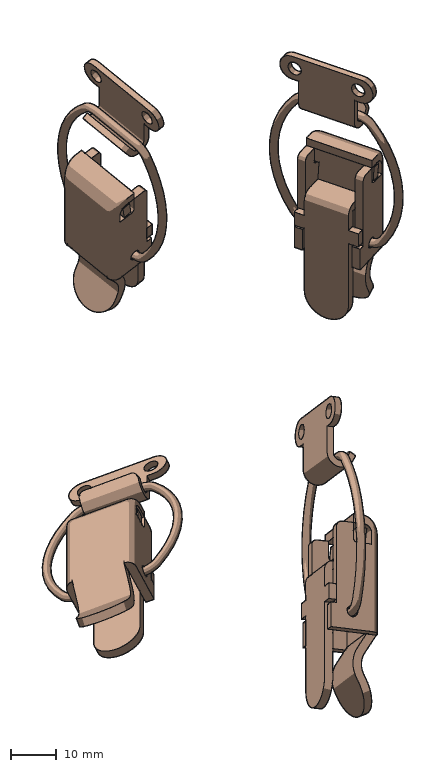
import cadquery as cq
import math


strike_sheet = 1.5
strike_top = 69.7
ear_width = 23.5
ear_height = 6.3
screw_hole_diameter = 3.3
screw_hole_offset = 8.0
neck_width = 14.1
hook_outer_radius = 3.2
hook_inner_radius = hook_outer_radius - strike_sheet
hook_centre_z = 57.6
hook_lip_angle = 30.0
hook_lip_length = 2.2
hook_lip_corner = 1.45

wire_radius = 1.0
bail_width = 33.45
bail_pivot_depth = 5.5
bail_pivot_z = 21.1
bail_top_depth = 3.15
bail_top_z = 57.0
bail_corner_radius = 4.2
bail_side_radius = 27.6
bail_side_height = 17.0

lever_sheet = 2.0
lever_width = 16.6
lever_front_depth = 12.05
lever_top = 43.55
lever_bottom = 16.95
lever_side_radius = 2.1
lever_bend_radius = 4.0
bend_end_radius = 0.05
wall_rear_depth = 1.75
heel_rear_depth = 0.4
heel_top = 22.65
wall_corner_radius = 1.25
pivot_hole_radius = 1.25
notch_rear_depth = 5.7
notch_floor = 37.1
notch_corner_radius = 0.9

fold_z = 17.6
fold_angle = 32.0
fold_length = 4.75
dip_radius = 5.0
flick_angle = 27.2

base_sheet = 1.95
base_width = 11.15
base_bottom = 0.85
shelf_top = 33.1
base_bend_radius = 2.1
lug_width = 16.2
lug_bottom = 23.4
lug_top = 27.05
prong_sheet = 2.0
prong_tilt = 6.5
prong_foot_depth = 6.55
prong_ear_height = 3.55


def at(depth, z):
    """Point of a side profile, as (Y, Z)."""
    return (-depth, z)


def step(point, angle, length):
    """Move a (depth, z) point; the angle is measured from the depth axis towards +Z."""
    depth, z = point
    turn = math.radians(angle)
    return (depth + length * math.cos(turn), z + length * math.sin(turn))


def side_profile():
    return cq.Workplane("YZ")


def side_box(width, rear, front, bottom, top):
    """Box centred on X = 0 between two depths and two heights."""
    return cq.Workplane("XY").box(width, front - rear, top - bottom).translate(
        (0, -(rear + front) / 2, (bottom + top) / 2)
    )


def sheet_plane(point, normal_angle):
    """Plane on a sheet face through a (depth, z) point; X stays along the part's X."""
    normal_depth, normal_z = step((0, 0), normal_angle, 1)
    depth, z = point
    return cq.Plane(origin=(0, -depth, z), xDir=(1, 0, 0), normal=(0, -normal_depth, normal_z))


def make_strike():
    ear_centre_z = strike_top - ear_height / 2
    ears = (
        cq.Workplane("XZ")
        .center(0, ear_centre_z)
        .slot2D(ear_width, ear_height)
        .extrude(strike_sheet)
    )
    neck = side_box(neck_width, 0, strike_sheet, hook_centre_z, ear_centre_z)

    centre = (hook_outer_radius, hook_centre_z)
    lip_normal = -hook_lip_angle
    middle_angle = (180 + 360 + lip_normal) / 2
    lip_foot = step(centre, lip_normal, hook_outer_radius)
    trough = (
        side_profile()
        .moveTo(*at(0, hook_centre_z))
        .threePointArc(at(*step(centre, middle_angle, hook_outer_radius)), at(*lip_foot))
        .lineTo(*at(*step(centre, lip_normal, hook_inner_radius)))
        .threePointArc(
            at(*step(centre, middle_angle, hook_inner_radius)), at(strike_sheet, hook_centre_z)
        )
        .close()
        .extrude(neck_width / 2, both=True)
    )
    lip = (
        cq.Workplane(sheet_plane(lip_foot, lip_normal))
        .center(0, hook_lip_length / 2)
        .rect(neck_width, hook_lip_length)
        .extrude(-strike_sheet)
    )
    lip_end = step(lip_foot, 90 + lip_normal, hook_lip_length)
    lip_end = step(lip_end, lip_normal, -strike_sheet / 2)
    for side in (-1, 1):
        corner = (side * neck_width / 2, -lip_end[0], lip_end[1])
        lip = lip.edges(cq.NearestToPointSelector(corner)).fillet(hook_lip_corner)

    holes = (
        cq.Workplane("XZ")
        .pushPoints([(-screw_hole_offset, ear_centre_z), (screw_hole_offset, ear_centre_z)])
        .circle(screw_hole_diameter / 2)
        .extrude(strike_sheet)
    )
    return ears.union(neck).union(trough).union(lip).cut(holes)


def make_bail():
    rise = bail_top_z - bail_pivot_z
    lean = bail_pivot_depth - bail_top_depth
    height = math.hypot(rise, lean)
    plane = cq.Plane(
        origin=(0, -bail_pivot_depth, bail_pivot_z), xDir=(1, 0, 0), normal=(0, -rise, lean)
    )

    side_reach = bail_width / 2 - wire_radius
    side_centre_x = side_reach - bail_side_radius
    centre_gap = bail_side_radius - bail_corner_radius
    top_rise = height - bail_corner_radius - bail_side_height
    foot_drop = bail_side_height - bail_corner_radius
    top_corner_x = side_centre_x + math.sqrt(centre_gap**2 - top_rise**2)
    foot_corner_x = side_centre_x + math.sqrt(centre_gap**2 - foot_drop**2)
    top_turn = math.asin(top_rise / centre_gap)
    foot_turn = math.asin(foot_drop / centre_gap)
    top_join = (
        side_centre_x + bail_side_radius * math.cos(top_turn),
        bail_side_height + bail_side_radius * math.sin(top_turn),
    )
    foot_join = (
        side_centre_x + bail_side_radius * math.cos(foot_turn),
        bail_side_height - bail_side_radius * math.sin(foot_turn),
    )
    end_x = lever_width / 2 - lever_sheet

    path = (
        cq.Workplane(plane)
        .moveTo(end_x, 0)
        .lineTo(foot_corner_x, 0)
        .tangentArcPoint(foot_join, relative=False)
        .threePointArc((side_reach, bail_side_height), top_join)
        .tangentArcPoint((top_corner_x, height), relative=False)
        .lineTo(-top_corner_x, height)
        .tangentArcPoint((-top_join[0], top_join[1]), relative=False)
        .threePointArc((-side_reach, bail_side_height), (-foot_join[0], foot_join[1]))
        .tangentArcPoint((-foot_corner_x, 0), relative=False)
        .lineTo(-end_x, 0)
    )
    wire_end = cq.Plane(
        origin=(end_x, -bail_pivot_depth, bail_pivot_z), xDir=(0, 1, 0), normal=(1, 0, 0)
    )
    return cq.Workplane(wire_end).circle(wire_radius).sweep(path)


def make_lever_front():
    """Front slab: rounded over the top, with side edges whose rounding fades out along the bend."""
    bend_depth = lever_front_depth - lever_bend_radius
    bend_z = lever_top - lever_bend_radius
    bend_middle = step((bend_depth, bend_z), 45, lever_bend_radius)
    slab = (
        side_profile()
        .moveTo(*at(bend_depth, lever_bottom))
        .lineTo(*at(lever_front_depth, lever_bottom))
        .lineTo(*at(lever_front_depth, bend_z))
        .threePointArc(at(*bend_middle), at(bend_depth, lever_top))
        .close()
        .extrude(lever_width / 2, both=True)
        .val()
    )
    rounding = cq.occ_impl.shapes.BRepFilletAPI_MakeFillet(slab.wrapped)
    middle_z = (lever_bottom + bend_z) / 2
    bend_place = 2
    for side in (-1, 1):
        x = side * lever_width / 2
        edges = cq.Workplane(slab).edges()
        straight = edges.edges(cq.NearestToPointSelector((x, -lever_front_depth, middle_z))).val()
        bend = edges.edges(cq.NearestToPointSelector((x, -bend_middle[0], bend_middle[1]))).val()
        rounding.Add(lever_side_radius, straight.wrapped)
        contour = rounding.Contour(bend.wrapped)
        rounding.SetRadius(lever_side_radius, bend_end_radius, contour, bend_place)
    return cq.Workplane(cq.Shape.cast(rounding.Shape()))


def make_tongue():
    """Finger tongue: folds back below the front panel, dips, then flicks out to a round tip."""
    width = lever_width - 2 * lever_side_radius
    fold = (lever_front_depth - lever_sheet, fold_z)
    neck_normal = -fold_angle
    tip_normal = flick_angle
    neck_start = step(fold, neck_normal, lever_sheet)
    neck_end = step(neck_start, neck_normal - 90, fold_length)
    dip_centre = step(neck_end, neck_normal, dip_radius)
    dip_back_radius = dip_radius + lever_sheet
    dip_middle_angle = 180 + (neck_normal + tip_normal) / 2
    tip_start = step(dip_centre, 180 + tip_normal, dip_radius)
    tip_back_start = step(dip_centre, 180 + tip_normal, dip_back_radius)
    strip = (
        side_profile()
        .moveTo(*at(*fold))
        .lineTo(*at(lever_front_depth, fold_z))
        .threePointArc(at(*step(fold, neck_normal / 2, lever_sheet)), at(*neck_start))
        .lineTo(*at(*neck_end))
        .threePointArc(at(*step(dip_centre, dip_middle_angle, dip_radius)), at(*tip_start))
        .lineTo(*at(*tip_back_start))
        .threePointArc(
            at(*step(dip_centre, dip_middle_angle, dip_back_radius)),
            at(*step(neck_end, neck_normal, -lever_sheet)),
        )
        .close()
        .extrude(width / 2, both=True)
    )
    tip_length = tip_back_start[1] / math.cos(math.radians(flick_angle))
    straight_length = tip_length - width / 2
    tip = (
        cq.Workplane(sheet_plane(tip_start, tip_normal))
        .moveTo(-width / 2, 0)
        .lineTo(width / 2, 0)
        .lineTo(width / 2, -straight_length)
        .threePointArc((0, -tip_length), (-width / 2, -straight_length))
        .close()
        .extrude(-lever_sheet)
    )
    return strip.union(tip)


def make_lever():
    inner_width = lever_width - 2 * lever_sheet
    tongue_width = lever_width - 2 * lever_side_radius
    inner_depth = lever_front_depth - lever_sheet
    ceiling = lever_top - lever_sheet
    inner_bend_radius = lever_bend_radius - lever_sheet
    bend_depth = lever_front_depth - lever_bend_radius

    walls = side_box(lever_width, wall_rear_depth, bend_depth, lever_bottom, ceiling)
    walls = walls.edges("|X and >Y and >Z").fillet(wall_corner_radius)
    heel = side_box(lever_width, heel_rear_depth, bend_depth, lever_bottom, heel_top)
    flange = side_box(lever_width, notch_rear_depth, bend_depth, ceiling, lever_top)
    shell = make_lever_front().union(walls).union(heel).union(flange)

    cavity = side_box(inner_width, 0, inner_depth, 0, ceiling)
    cavity = cavity.edges("|X and <Y and >Z").fillet(inner_bend_radius)
    notch = side_box(lever_width, notch_rear_depth, inner_depth, notch_floor, ceiling)
    notch = notch.edges("|X and <Y and >Z").fillet(inner_bend_radius)
    notch = notch.edges("|X and >Y and <Z").fillet(notch_corner_radius)
    pivot_hole = (
        side_profile()
        .center(*at(bail_pivot_depth, bail_pivot_z))
        .circle(pivot_hole_radius)
        .extrude(lever_width / 2, both=True)
    )
    fold_gap = side_box(tongue_width, 0, lever_front_depth, lever_bottom, fold_z)
    return shell.cut(cavity).cut(notch).cut(pivot_hole).cut(fold_gap).union(make_tongue())


def make_base():
    round_z = base_bottom + base_width / 2
    prong_axis = 90 - prong_tilt
    shelf_bottom = shelf_top - base_sheet
    lean = math.tan(math.radians(prong_tilt))

    ear_foot = (prong_foot_depth, notch_floor + prong_sheet * math.sin(math.radians(prong_tilt)))
    ear_front = step(ear_foot, -prong_tilt, prong_sheet)
    prong_top = step(ear_foot, prong_axis, prong_ear_height)
    prong_top_front = step(ear_front, prong_axis, prong_ear_height)
    toe = (ear_front[0] - (ear_front[1] - shelf_bottom) * lean, shelf_bottom)
    crook = (ear_foot[0] - (ear_foot[1] - shelf_top) * lean, shelf_top)

    strip = (
        side_profile()
        .polyline(
            [
                at(0, round_z),
                at(0, shelf_top),
                at(*crook),
                at(*prong_top),
                at(*prong_top_front),
                at(*toe),
                at(base_sheet, shelf_bottom),
                at(base_sheet, round_z),
            ]
        )
        .close()
        .extrude(base_width / 2, both=True)
    )
    for depth, z in [(0, shelf_top), toe]:
        strip = strip.edges(cq.NearestToPointSelector((0, -depth, z))).fillet(base_bend_radius)

    round_end = (
        cq.Workplane("XZ").center(0, round_z).circle(base_width / 2).extrude(base_sheet)
    )
    lugs = side_box(lug_width, 0, wall_rear_depth, lug_bottom, lug_top)
    ears = (
        cq.Workplane(sheet_plane(ear_front, -prong_tilt))
        .center(0, prong_ear_height / 2)
        .rect(lug_width, prong_ear_height)
        .extrude(-prong_sheet)
    )
    return strip.union(round_end).union(lugs).union(ears)


strike = make_strike()
bail = make_bail()
lever = make_lever()
base = make_base()

bodies = [strike, bail, lever, base]
result = cq.Compound.makeCompound([body.solids().val() for body in bodies])